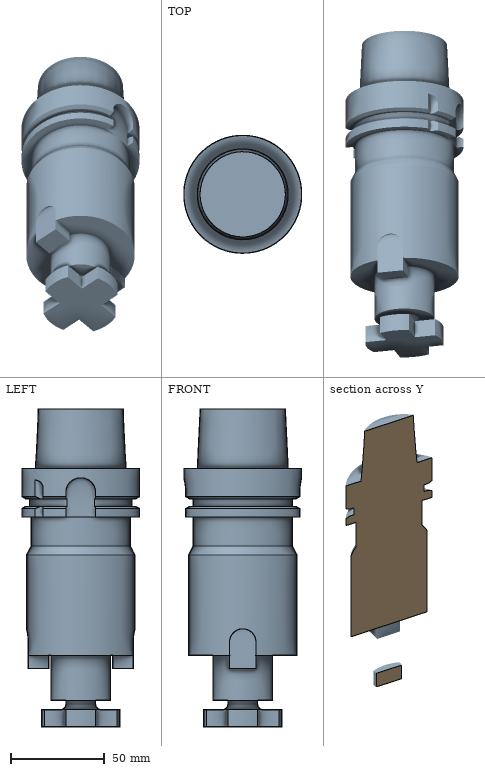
import cadquery as cq
import math

TOTAL_HEIGHT = 170.0
TAPER_BASE = 138.2
GROOVE_TOP = 123.0
GROOVE_BOTTOM = 116.6
FLANGE_BOTTOM = 112.0
SHOULDER_TOP = 96.5
SHOULDER_BOTTOM = 91.8
BODY_BOTTOM = 38.2
SPIGOT_BOTTOM = 14.1
HEAD_TOP = 9.2

TAPER_TOP_RADIUS = 22.8
TAPER_BASE_RADIUS = 24.3
FLANGE_RADIUS = 63.0 / 2
NECK_RADIUS = 53.0 / 2
BODY_RADIUS = 58.0 / 2
SPIGOT_RADIUS = 32.0 / 2
GROOVE_RADIUS = 27.5

SHOULDER_FILLET = 1.0

GROOVE_CHAMFER_WIDTH = 2.0
GROOVE_CHAMFER_HEIGHT = 1.2

DRIVE_SLOT_WIDTH = 16.0
DRIVE_SLOT_TOP = 133.1

NOTCH_WIDTH = 9.2
NOTCH_CENTER_Y = 24.6
NOTCH_TOP = 132.0
NOTCH_FLOOR = 20.0

KEY_WIDTH = 14.1
KEY_TOP = 52.4
KEY_BOTTOM = 31.1
KEY_INNER = 17.0
KEY_OUTER = math.sqrt(BODY_RADIUS**2 - (KEY_WIDTH / 2) ** 2)

SCREW_NECK_RADIUS = 16.0 / 2
SCREW_FILLET = 2.9
HEAD_RADIUS = 20.9
HEAD_ARM_WIDTH = 2 * SCREW_NECK_RADIUS


def round_top_prism(plane, center, width, bottom, top, start, end):
    """Upright tongue with a semicircular top, extruded along the plane normal from start to end."""
    radius = width / 2
    return (
        cq.Workplane(plane)
        .workplane(offset=start)
        .moveTo(center - radius, bottom)
        .lineTo(center - radius, top - radius)
        .threePointArc((center, top), (center + radius, top - radius))
        .lineTo(center + radius, bottom)
        .close()
        .extrude(end - start)
    )


def make_key():
    """Driving key on the -Y side; the XZ plane normal points toward -Y."""
    return round_top_prism("XZ", 0, KEY_WIDTH, KEY_BOTTOM, KEY_TOP, KEY_INNER, KEY_OUTER)


def place_keys():
    keys = []
    for angle in (0, 180):
        keys.append(make_key().rotate((0, 0, 0), (0, 0, 1), angle))
    return keys


def make_turned_holder():
    """Taper, grooved flange, neck, body and spigot as one revolved profile."""
    rim_radius = FLANGE_RADIUS - GROOVE_CHAMFER_WIDTH
    upper_wall = GROOVE_TOP - GROOVE_CHAMFER_HEIGHT
    lower_wall = GROOVE_BOTTOM + GROOVE_CHAMFER_HEIGHT
    profile = [
        (0, TOTAL_HEIGHT),
        (TAPER_TOP_RADIUS, TOTAL_HEIGHT),
        (TAPER_BASE_RADIUS, TAPER_BASE),
        (FLANGE_RADIUS, TAPER_BASE),
        (FLANGE_RADIUS, GROOVE_TOP),
        (rim_radius, upper_wall),
        (GROOVE_RADIUS, upper_wall),
        (GROOVE_RADIUS, lower_wall),
        (rim_radius, lower_wall),
        (FLANGE_RADIUS, GROOVE_BOTTOM),
        (FLANGE_RADIUS, FLANGE_BOTTOM),
        (NECK_RADIUS, FLANGE_BOTTOM),
        (NECK_RADIUS, SHOULDER_TOP),
        (BODY_RADIUS, SHOULDER_BOTTOM),
        (BODY_RADIUS, BODY_BOTTOM),
        (SPIGOT_RADIUS, BODY_BOTTOM),
        (SPIGOT_RADIUS, SPIGOT_BOTTOM),
        (0, SPIGOT_BOTTOM),
    ]
    turned = cq.Workplane("XZ").polyline(profile).close().revolve(360, (0, 0), (0, 1))
    shoulder_edges = turned.faces(cq.selectors.BoxSelector(
        (-FLANGE_RADIUS, -FLANGE_RADIUS, SHOULDER_BOTTOM),
        (FLANGE_RADIUS, FLANGE_RADIUS, SHOULDER_TOP),
    )).edges("%CIRCLE")
    return shoulder_edges.fillet(SHOULDER_FILLET)


def make_drive_slot():
    """Cutter for the +X driving slot."""
    return round_top_prism(
        "YZ", 0, DRIVE_SLOT_WIDTH, FLANGE_BOTTOM, DRIVE_SLOT_TOP, NECK_RADIUS, FLANGE_RADIUS
    )


def make_orientation_notch():
    """Cutter for the flat-floored notch at the -X, +Y corner of the flange."""
    return round_top_prism(
        "YZ", NOTCH_CENTER_Y, NOTCH_WIDTH, FLANGE_BOTTOM, NOTCH_TOP, -FLANGE_RADIUS, -NOTCH_FLOOR
    )


def make_key_seat():
    """Cutter for the -Y key seat, open through the side of the body."""
    return round_top_prism("XZ", 0, KEY_WIDTH, KEY_BOTTOM, KEY_TOP, KEY_INNER, BODY_RADIUS)


def make_holder():
    holder = make_turned_holder().cut(make_orientation_notch())
    for angle in (0, 180):
        holder = holder.cut(make_drive_slot().rotate((0, 0, 0), (0, 0, 1), angle))
        holder = holder.cut(make_key_seat().rotate((0, 0, 0), (0, 0, 1), angle))
    return holder


def make_screw():
    """Cross-shaped head with a filleted neck that meets the end of the spigot."""
    arm_x = cq.Workplane("XY").rect(2 * HEAD_RADIUS, HEAD_ARM_WIDTH).extrude(HEAD_TOP)
    arm_y = cq.Workplane("XY").rect(HEAD_ARM_WIDTH, 2 * HEAD_RADIUS).extrude(HEAD_TOP)
    disc = cq.Workplane("XY").circle(HEAD_RADIUS).extrude(HEAD_TOP)
    head = arm_x.union(arm_y).intersect(disc)

    fillet_offset = SCREW_FILLET * (1 - math.sqrt(0.5))
    neck = (
        cq.Workplane("XZ")
        .moveTo(0, HEAD_TOP)
        .lineTo(SCREW_NECK_RADIUS + SCREW_FILLET, HEAD_TOP)
        .threePointArc(
            (SCREW_NECK_RADIUS + fillet_offset, HEAD_TOP + fillet_offset),
            (SCREW_NECK_RADIUS, HEAD_TOP + SCREW_FILLET),
        )
        .lineTo(SCREW_NECK_RADIUS, SPIGOT_BOTTOM)
        .lineTo(0, SPIGOT_BOTTOM)
        .close()
        .revolve(360, (0, 0), (0, 1))
    )
    return head.union(neck)


holder = make_holder()
keys = place_keys()
screw = make_screw()

result = cq.Compound.makeCompound([holder.val(), *[key.val() for key in keys], screw.val()])